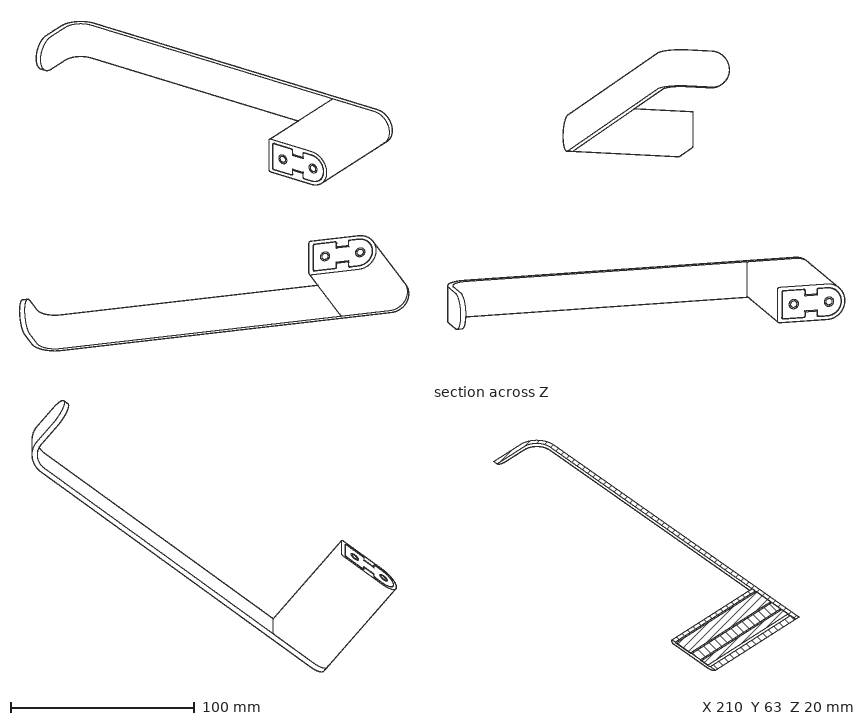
import cadquery as cq

LENGTH = 210.0
DEPTH = 63.0
HEIGHT = 20.0
END_RADIUS = HEIGHT / 2
ROUND_CENTRE_X = LENGTH - END_RADIUS

STRIP_THICKNESS = 3.0
BEND_OUTER_RADIUS = 13.0
BEND_INNER_RADIUS = BEND_OUTER_RADIUS - STRIP_THICKNESS
HOOK_REACH = 37.0

HOUSING_LENGTH = 38.2
HOUSING_LEFT = LENGTH - HOUSING_LENGTH
HOUSING_FRONT_Y = -DEPTH
HOUSING_BACK_Y = -STRIP_THICKNESS
HOUSING_EDGE_RADIUS = 1.3

LEFT_WALL = 2.5
POCKET_LEFT = HOUSING_LEFT + LEFT_WALL
POCKET_HALF_HEIGHT = 8.0
CORNER_RADIUS = 0.8
RIB_LEFT = 187.5
RIB_RIGHT = 194.2
RIB_HALF_GAP = 4.8

INSERT_CLEARANCE = 0.2
WAIST_HALF_HEIGHT = 4.2

SLEEVE_CENTRES_X = (181.0, 201.0)
SLEEVE_DIAMETER = 5.2
SLEEVE_BORE = 3.5


def extrude_along_y(draw_outline, front_y, back_y):
    """Extrude a closed X-Z outline from front_y towards +Y up to back_y."""
    plane = cq.Workplane("XZ", origin=(0, front_y, 0))
    return draw_outline(plane).extrude(front_y - back_y)


def d_shape(left, half_height, front_y, back_y):
    """Bar along Y that is flat on the left and fully round on the right."""

    def outline(plane):
        return (
            plane.moveTo(left, -half_height)
            .lineTo(ROUND_CENTRE_X, -half_height)
            .threePointArc((ROUND_CENTRE_X + half_height, 0), (ROUND_CENTRE_X, half_height))
            .lineTo(left, half_height)
            .close()
        )

    return extrude_along_y(outline, front_y, back_y)


def waisted_bar(left, half_height, waist, front_y, back_y):
    """D-shaped bar notched above and below, with its outer corners rounded.

    The waist is given as (left, right, half_height).
    """
    waist_left, waist_right, waist_half_height = waist
    bar = d_shape(left, half_height, front_y, back_y)
    notch_height = half_height - waist_half_height
    for side in (-1, 1):
        notch = cq.Workplane("XY").box(
            waist_right - waist_left, back_y - front_y, notch_height, centered=(False, False, True)
        )
        bar = bar.cut(notch.translate((waist_left, front_y, side * (half_height - notch_height / 2))))
    long_edges = bar.faces(">Z or <Z").edges("|Y")
    corners = long_edges.filter(lambda edge: edge.Center().x < waist_right + CORNER_RADIUS)
    return corners.fillet(CORNER_RADIUS)


def make_strip():
    """Flat strip bent into a hook at the left, with both ends fully round."""
    strip = (
        cq.Workplane("XY", origin=(0, 0, -HEIGHT / 2))
        .moveTo(LENGTH, 0)
        .lineTo(BEND_OUTER_RADIUS, 0)
        .radiusArc((0, -BEND_OUTER_RADIUS), -BEND_OUTER_RADIUS)
        .lineTo(0, -HOOK_REACH)
        .lineTo(STRIP_THICKNESS, -HOOK_REACH)
        .lineTo(STRIP_THICKNESS, -BEND_OUTER_RADIUS)
        .radiusArc((BEND_OUTER_RADIUS, -STRIP_THICKNESS), BEND_INNER_RADIUS)
        .lineTo(LENGTH, -STRIP_THICKNESS)
        .close()
        .extrude(HEIGHT)
    )
    mounting_end = d_shape(0, END_RADIUS, -DEPTH, 0)
    hook_end = (
        cq.Workplane("YZ")
        .moveTo(0, -END_RADIUS)
        .lineTo(0, END_RADIUS)
        .lineTo(END_RADIUS - HOOK_REACH, END_RADIUS)
        .threePointArc((-HOOK_REACH, 0), (END_RADIUS - HOOK_REACH, -END_RADIUS))
        .close()
        .extrude(LENGTH)
    )
    return strip.intersect(mounting_end).intersect(hook_end)


def make_housing():
    """D-shaped tube in front of the strip, with a ribbed pocket along its length."""
    body = d_shape(HOUSING_LEFT, END_RADIUS, HOUSING_FRONT_Y, HOUSING_BACK_Y)
    body = body.edges("|Y and <X").fillet(HOUSING_EDGE_RADIUS)
    ribs = (RIB_LEFT, RIB_RIGHT, RIB_HALF_GAP)
    return body.cut(waisted_bar(POCKET_LEFT, POCKET_HALF_HEIGHT, ribs, HOUSING_FRONT_Y, HOUSING_BACK_Y))


def round_bar(centre_x, diameter):
    """Cylinder along Y as long as the insert."""
    return extrude_along_y(
        lambda plane: plane.center(centre_x, 0).circle(diameter / 2), HOUSING_FRONT_Y, HOUSING_BACK_Y
    )


def make_insert():
    """Waisted block inside the pocket, with a through hole for each sleeve."""
    waist = (RIB_LEFT - INSERT_CLEARANCE, RIB_RIGHT + INSERT_CLEARANCE, WAIST_HALF_HEIGHT)
    insert = waisted_bar(
        POCKET_LEFT + INSERT_CLEARANCE,
        POCKET_HALF_HEIGHT - INSERT_CLEARANCE,
        waist,
        HOUSING_FRONT_Y,
        HOUSING_BACK_Y,
    )
    for centre_x in SLEEVE_CENTRES_X:
        insert = insert.cut(round_bar(centre_x, SLEEVE_DIAMETER))
    return insert


def make_sleeve(centre_x):
    """Plain tube that lines one hole of the insert."""
    return round_bar(centre_x, SLEEVE_DIAMETER).cut(round_bar(centre_x, SLEEVE_BORE))


strip = make_strip()
housing = make_housing()
insert = make_insert()
sleeves = [make_sleeve(centre_x) for centre_x in SLEEVE_CENTRES_X]

result = cq.Compound.makeCompound(
    [strip.val(), housing.val(), insert.val(), *[sleeve.val() for sleeve in sleeves]]
)